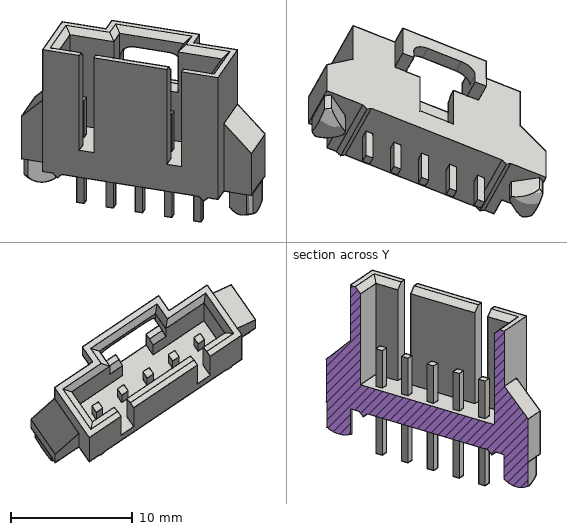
import cadquery as cq
import math

pin_pitch = 2.55
pin_count = 5
pin_size = 0.65
pin_length_below = 3.66
pin_top = 6.0

body_length = 15.25
body_depth = 5.09
body_height = 11.45
wall = 1.02
rim_chamfer = 0.52
floor_height = pin_pitch
pin_row_y = body_depth / 2

key_length = 3 * pin_pitch
key_depth = 1.52
key_bottom = body_height - 3.8
key_inner_length = key_length - 2 * wall
key_window_top = 9.87
key_window_radius = 1.26

front_slot_width = pin_pitch / 2
front_slot_x = 1.5 * pin_pitch
back_slot_width = 3.05

left_ear_end = -9.99
right_ear_end = 10.03
ear_depth = 3.56
ear_height = 6.35

peg_reach = 9.97
peg_width = 2.4
peg_radius = 1.7
peg_root_half_depth = 1.86
peg_tip_half_depth = 0.18
peg_depth_below = 2.65
left_dome_radius = 2.0
right_dome_radius = 2.5

ridge_height = 0.38
ridge_half_width = 0.4
ridge_x = 2.5 * pin_pitch

overlap = 0.2


def block(x_min, x_max, y_min, y_max, z_min, z_max):
    """Axis-aligned box given by its limits."""
    size = (x_max - x_min, y_max - y_min, z_max - z_min)
    return cq.Workplane("XY").box(*size, centered=False).translate((x_min, y_min, z_min))


def centered_block(x_center, length, y_min, y_max, z_min, z_max):
    """Axis-aligned box centred on x_center."""
    return block(x_center - length / 2, x_center + length / 2, y_min, y_max, z_min, z_max)


def rim_cut(length, y_min, y_max, top):
    """Funnel that bevels the rim of a rectangular opening by 45 degrees."""
    return (
        cq.Workplane("XY", origin=(0, (y_min + y_max) / 2, top))
        .rect(length + 2 * rim_chamfer, y_max - y_min + 2 * rim_chamfer)
        .workplane(offset=-rim_chamfer)
        .rect(length, y_max - y_min)
        .loft(ruled=True)
    )


def housing():
    """Open-topped box with the key bulge, bevelled rims and wall slots."""
    back = body_depth + key_depth
    shell = centered_block(0, body_length, 0, body_depth, 0, body_height)
    shell = shell.union(centered_block(0, key_length, body_depth - wall, back, key_bottom, body_height))

    cavity_length = body_length - 2 * wall
    cavity_back = body_depth - wall
    shell = shell.cut(centered_block(0, cavity_length, wall, cavity_back, floor_height, body_height))
    shell = shell.cut(rim_cut(cavity_length, wall, cavity_back, body_height))

    shell = shell.cut(centered_block(0, key_inner_length, wall, back - wall, key_bottom, body_height))
    shell = shell.cut(rim_cut(key_inner_length, wall + rim_chamfer, back - wall, body_height))

    window = centered_block(
        0, key_inner_length, back - wall - overlap, back, key_bottom - overlap, key_window_top
    )
    shell = shell.cut(window.edges("|Y and >Z").fillet(key_window_radius))

    ledge_bevel = (
        cq.Workplane("YZ", origin=(-key_inner_length / 2, 0, 0))
        .moveTo(cavity_back, key_bottom)
        .lineTo(cavity_back + rim_chamfer, key_bottom)
        .lineTo(cavity_back, key_bottom - rim_chamfer)
        .close()
        .extrude(key_inner_length)
    )
    shell = shell.cut(ledge_bevel)

    shell = shell.cut(
        centered_block(0, back_slot_width, cavity_back, body_depth, floor_height, key_bottom)
    )
    for x in (-front_slot_x, front_slot_x):
        shell = shell.cut(centered_block(x, front_slot_width, 0, wall, floor_height, body_height))
    return shell


def ear(end_x):
    """Side ear flush with the back, its shoulder sloped at 45 degrees."""
    inner_x = math.copysign(body_length / 2, end_x)
    shoulder = ear_height - abs(end_x - inner_x)
    return (
        cq.Workplane("XZ", origin=(0, body_depth, 0))
        .moveTo(inner_x, 0)
        .lineTo(end_x, 0)
        .lineTo(end_x, shoulder)
        .lineTo(inner_x, ear_height)
        .close()
        .extrude(ear_depth)
    )


def peg(side, dome_radius):
    """Locating peg under an ear; side is -1 for the left one and +1 for the right one."""
    outer_x = side * peg_reach
    inner_x = side * (peg_reach - peg_width)
    center = ((outer_x + inner_x) / 2, body_depth - ear_depth / 2)

    post = cq.Workplane("XY").moveTo(*center).circle(peg_radius).extrude(-peg_depth_below)
    sphere = cq.Workplane("XY").sphere(dome_radius)
    post = post.intersect(sphere.translate((*center, dome_radius - peg_depth_below)))

    flats = (
        cq.Workplane("XY", origin=(0, center[1], 0))
        .moveTo(outer_x, -peg_root_half_depth)
        .lineTo(inner_x, -peg_tip_half_depth)
        .lineTo(inner_x, peg_tip_half_depth)
        .lineTo(outer_x, peg_root_half_depth)
        .close()
        .extrude(-peg_depth_below)
    )
    return post.intersect(flats)


def ridge(x):
    """V-shaped stand-off across the underside of the body."""
    return (
        cq.Workplane("XZ", origin=(0, body_depth, 0))
        .moveTo(x - ridge_half_width, 0)
        .lineTo(x + ridge_half_width, 0)
        .lineTo(x, -ridge_height)
        .close()
        .extrude(body_depth)
    )


def pin(x):
    """Square contact pin through the floor."""
    half = pin_size / 2
    return centered_block(x, pin_size, pin_row_y - half, pin_row_y + half, -pin_length_below, pin_top)


result = housing()
for end_x in (left_ear_end, right_ear_end):
    result = result.union(ear(end_x))
result = result.union(peg(-1, left_dome_radius))
result = result.union(peg(1, right_dome_radius))
for x in (-ridge_x, ridge_x):
    result = result.union(ridge(x))
for index in range(pin_count):
    result = result.union(pin((index - (pin_count - 1) / 2) * pin_pitch))